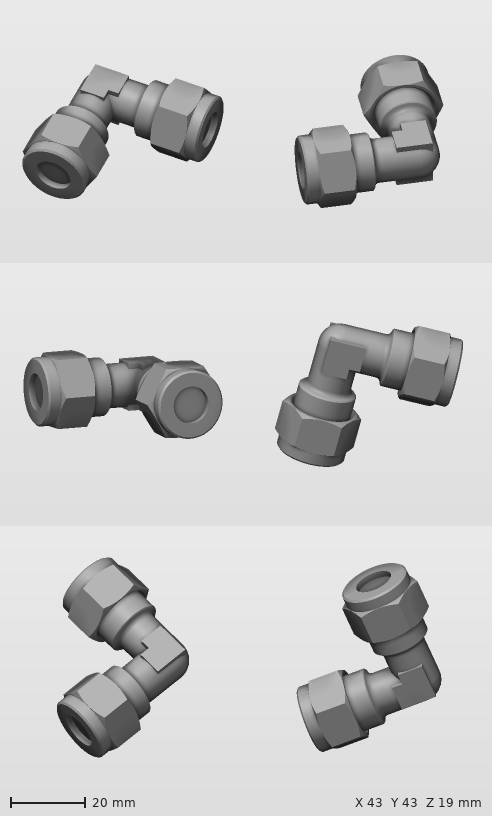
import cadquery as cq
import math

OVERALL_LENGTH = 42.95
TUBE_RADIUS = 6.0
FLARE_START = 11.4
FLARE_RADIUS = 1.4
FLARE_ANGLE = math.radians(70)
COLLAR_RADIUS = 7.95
COLLAR_CHAMFER = 0.25

NUT_START = 18.5
NUT_END = 28.5
NUT_ACROSS_FLATS = 19.0
NUT_ACROSS_CORNERS = NUT_ACROSS_FLATS / math.cos(math.radians(30))
ARM_LENGTH = OVERALL_LENGTH - NUT_ACROSS_CORNERS / 2
NUT_CHAMFER_ANGLE = math.radians(30)
NUT_MOUTH_RADIUS = 8.75

RING_RADIUS = 9.35
RING_CHAMFER = 0.5
BORE_RADIUS = 5.05
BORE_DEPTH = 1.85

PAD_OUTER = 3.5
PAD_REACH = 6.45
PAD_HALF_HEIGHT = 6.55


def flare_point(angle):
    """Point (radius, y) on the flare where its slope has turned by the given angle."""
    radius = TUBE_RADIUS + FLARE_RADIUS * (1 - math.cos(angle))
    return radius, -FLARE_START - FLARE_RADIUS * math.sin(angle)


def arm_body():
    """Tube, flared shoulder, collar and end ring turned about the Y axis, toward -Y."""
    flare_middle = flare_point(FLARE_ANGLE / 2)
    flare_end = flare_point(FLARE_ANGLE)
    shoulder_edge = COLLAR_RADIUS - COLLAR_CHAMFER
    shoulder_y = flare_end[1] - (shoulder_edge - flare_end[0]) / math.tan(FLARE_ANGLE)
    return (
        cq.Workplane("XY")
        .lineTo(TUBE_RADIUS, 0)
        .lineTo(TUBE_RADIUS, -FLARE_START)
        .threePointArc(flare_middle, flare_end)
        .lineTo(shoulder_edge, shoulder_y)
        .lineTo(COLLAR_RADIUS, shoulder_y - COLLAR_CHAMFER)
        .lineTo(COLLAR_RADIUS, -NUT_END)
        .lineTo(RING_RADIUS, -NUT_END)
        .lineTo(RING_RADIUS, -ARM_LENGTH + RING_CHAMFER)
        .lineTo(RING_RADIUS - RING_CHAMFER, -ARM_LENGTH)
        .lineTo(0, -ARM_LENGTH)
        .close()
        .revolve(360, (0, 0), (0, 1))
    )


def nut():
    """Hexagonal nut with its corners toward +X and -X and both ends chamfered."""
    hexagon = (
        cq.Workplane("XZ", origin=(0, -NUT_START, 0))
        .polygon(6, NUT_ACROSS_CORNERS)
        .extrude(NUT_END - NUT_START)
    )
    face_radius = NUT_ACROSS_FLATS / 2
    corner_radius = NUT_ACROSS_CORNERS / 2
    drop = (corner_radius - face_radius) * math.tan(NUT_CHAMFER_ANGLE)
    envelope = (
        cq.Workplane("XY")
        .moveTo(0, -NUT_START)
        .lineTo(face_radius, -NUT_START)
        .lineTo(corner_radius, -NUT_START - drop)
        .lineTo(corner_radius, -NUT_END + drop)
        .lineTo(face_radius, -NUT_END)
        .lineTo(0, -NUT_END)
        .close()
        .revolve(360, (0, 0), (0, 1))
    )
    mouth = (
        cq.Workplane("XY")
        .moveTo(0, -NUT_START)
        .lineTo(NUT_MOUTH_RADIUS, -NUT_START)
        .lineTo(0, -NUT_START - NUT_MOUTH_RADIUS)
        .close()
        .revolve(360, (0, 0), (0, 1))
    )
    return hexagon.intersect(envelope).cut(mouth)


def bore():
    """Shallow blind bore in the end of the arm."""
    return cq.Workplane("XZ", origin=(0, -ARM_LENGTH + BORE_DEPTH, 0)).circle(BORE_RADIUS).extrude(BORE_DEPTH)


def elbow_pads():
    """L-shaped block through the bend, leaving a flat pad above and below it."""
    return (
        cq.Workplane("XY", origin=(0, 0, -PAD_HALF_HEIGHT))
        .moveTo(-PAD_OUTER, PAD_OUTER)
        .lineTo(PAD_REACH, PAD_OUTER)
        .lineTo(PAD_REACH, -PAD_OUTER)
        .lineTo(PAD_OUTER, -PAD_OUTER)
        .lineTo(PAD_OUTER, -PAD_REACH)
        .lineTo(-PAD_OUTER, -PAD_REACH)
        .close()
        .extrude(2 * PAD_HALF_HEIGHT)
    )


arm_y = arm_body().union(nut()).cut(bore())
arm_x = arm_y.mirror("XZ").rotate((0, 0, 0), (0, 0, 1), -90)
bend = cq.Workplane("XY").sphere(TUBE_RADIUS)

result = arm_y.union(arm_x).union(bend).union(elbow_pads())